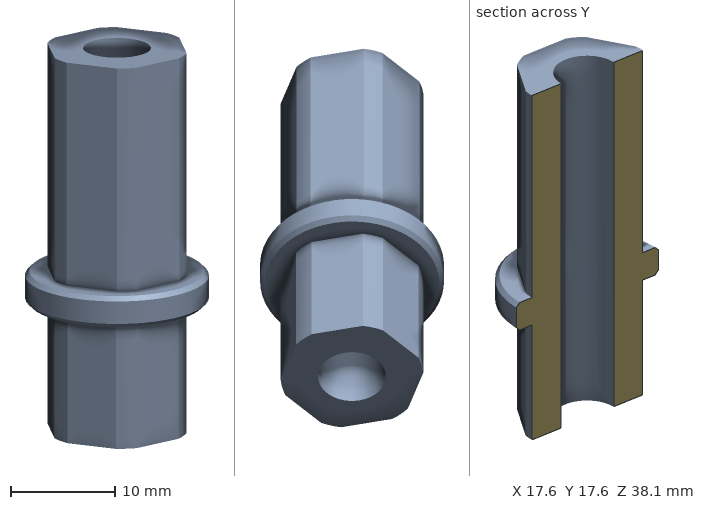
import cadquery as cq
import math

total_length = 38.1
collar_bottom = 12.7
collar_top = 15.77

collar_diameter = 17.65
collar_chamfer = 0.42

across_flats = 12.75
upper_corner_diameter = 13.8
lower_corner_diameter = 13.7

bore_diameter = 6.5


def rounded_hexagon(across_flats, corner_diameter, bottom, top):
    """Hexagonal prism whose six corners are rounded by a coaxial cylinder."""
    across_corners = across_flats / math.cos(math.radians(30))
    base = cq.Workplane("XY").workplane(offset=bottom)
    hexagon = base.polygon(6, across_corners).extrude(top - bottom)
    cylinder = base.circle(corner_diameter / 2).extrude(top - bottom)
    return hexagon.intersect(cylinder)


lower_shank = rounded_hexagon(across_flats, lower_corner_diameter, 0, collar_bottom)
upper_shank = rounded_hexagon(across_flats, upper_corner_diameter, collar_top, total_length)

collar = (
    cq.Workplane("XY")
    .workplane(offset=collar_bottom)
    .circle(collar_diameter / 2)
    .extrude(collar_top - collar_bottom)
    .edges("%CIRCLE")
    .chamfer(collar_chamfer)
)

bore = cq.Workplane("XY").circle(bore_diameter / 2).extrude(total_length)

result = collar.union(lower_shank).union(upper_shank).cut(bore)